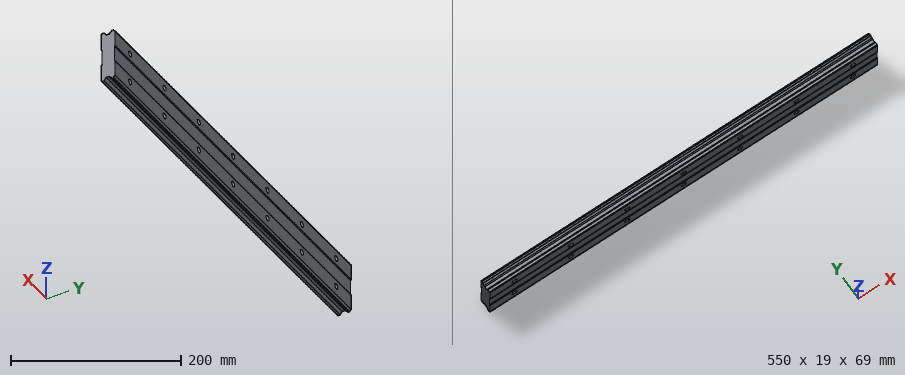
import cadquery as cq
import math

length = 550.0
thickness = 19.0
height = 69.0

lip_width = 2.0
seat_size = 2.5
lip_chamfer = 0.3
seat_radius = 2.5

channel_depth = 4.0
channel_flank_angle = 45.0
front_wall_angle = 60.0
front_land_width = 4.2

front_chamfer = 1.0

relief_height = 22.0
relief_depth = 1.0

hole_diameter = 7.0
hole_pitch = 80.0
holes_per_row = 7
row_spacing = 40.0

front_y = -thickness / 2
back_y = thickness / 2
half_height = height / 2


def run_at_angle(rise, angle):
    """Horizontal run of a slope that climbs by rise at the given angle in degrees."""
    return rise / math.tan(math.radians(angle))


def grooved_bar():
    """Extrude the upper half of the end profile and mirror it about the XY plane."""
    lip_back_y = back_y - seat_size
    lip_front_y = lip_back_y - lip_width
    seat_front_y = lip_front_y - seat_size
    seat_z = half_height - seat_size
    chamfer_z = half_height - lip_chamfer

    channel_z = half_height - channel_depth
    flank_foot_y = seat_front_y - run_at_angle(seat_z - channel_z, channel_flank_angle)
    wall_top_y = front_y + front_land_width
    wall_foot_y = wall_top_y + run_at_angle(channel_depth, front_wall_angle)

    relief_edge_z = relief_height / 2
    relief_floor_z = relief_edge_z - relief_depth

    half_profile = (
        cq.Workplane("YZ")
        .moveTo(back_y - relief_depth, 0)
        .lineTo(back_y - relief_depth, relief_floor_z)
        .lineTo(back_y, relief_edge_z)
        .lineTo(back_y, seat_z)
        .radiusArc((lip_back_y + lip_chamfer, chamfer_z), seat_radius)
        .lineTo(lip_back_y, half_height)
        .lineTo(lip_front_y, half_height)
        .lineTo(lip_front_y - lip_chamfer, chamfer_z)
        .radiusArc((seat_front_y, seat_z), seat_radius)
        .lineTo(flank_foot_y, channel_z)
        .lineTo(wall_foot_y, channel_z)
        .lineTo(wall_top_y, half_height)
        .lineTo(front_y + front_chamfer, half_height)
        .lineTo(front_y, half_height - front_chamfer)
        .lineTo(front_y, relief_edge_z)
        .lineTo(front_y + relief_depth, relief_floor_z)
        .lineTo(front_y + relief_depth, 0)
        .close()
    )
    upper_half = half_profile.extrude(length / 2, both=True)
    return upper_half.union(upper_half.mirror("XY")).clean()


def mounting_holes():
    """Both rows of holes, running through the full thickness."""
    plane = cq.Workplane("XZ", origin=(0, back_y, 0))
    centres = plane.rarray(hole_pitch, row_spacing, holes_per_row, 2)
    return centres.circle(hole_diameter / 2).extrude(thickness)


result = grooved_bar().cut(mounting_holes())